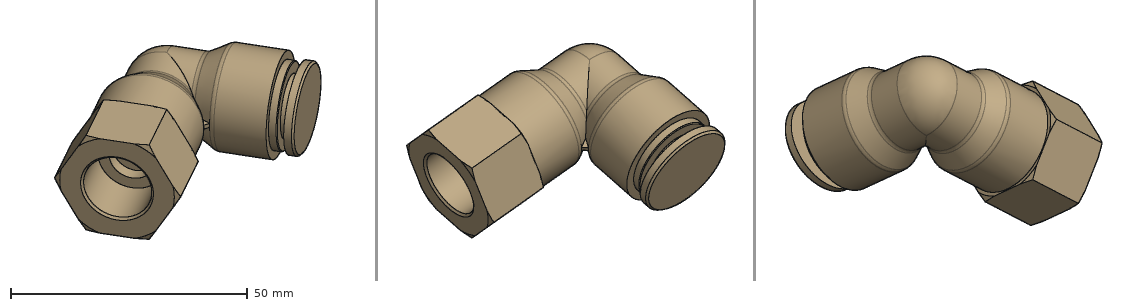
import cadquery as cq
import math


waist_radius = 9.0
barrel_radius = 23.5 / 2
arm_length = 25.0
taper_start = 8.0
taper_end = 13.0
taper_blend_radius = 2.0
web_thickness = 1.0

hex_across_flats = 24.0
hex_length = 15.0
hex_chamfer_circle_radius = 12.6
hex_chamfer_angle = 20.0
thread_hole_radius = 14.95 / 2
thread_hole_depth = 12.0
thread_mouth_chamfer = 0.5
passage_radius = 10.0 / 2

collar_radius = 19.6 / 2
collar_length = 1.85
collar_chamfer = 0.2
neck_radius = 14.2 / 2
neck_length = 3.75
flange_width = 22.5
flange_height = 19.6
flange_thickness = 2.15
flange_chamfer = 0.45

hex_across_corners = hex_across_flats / math.cos(math.pi / 6)
hex_face_distance = arm_length + hex_length
taper_angle = math.atan2(barrel_radius - waist_radius, taper_end - taper_start)
blend_tangent_length = taper_blend_radius * math.tan(taper_angle / 2)


def along_x(radius, start, length):
    """Cylinder on the X axis."""
    return cq.Workplane("YZ", origin=(start, 0, 0)).circle(radius).extrude(length)


def along_minus_y(start):
    """Workplane square to the -Y arm, at a distance from the origin, facing outwards."""
    return cq.Workplane("XZ", origin=(0, -start, 0))


def blend_middle(corner_axial, corner_radius, side):
    """Point halfway along a taper blend; side is +1 for the blend at the waist and -1 at the barrel."""
    center_axial = corner_axial - side * blend_tangent_length
    center_radius = corner_radius + side * taper_blend_radius
    return (
        center_axial + side * taper_blend_radius * math.sin(taper_angle / 2),
        center_radius - side * taper_blend_radius * math.cos(taper_angle / 2),
    )


def make_arm():
    """Arm along +X: waist, blended taper and barrel."""
    tangent_axial = blend_tangent_length * math.cos(taper_angle)
    tangent_radial = blend_tangent_length * math.sin(taper_angle)
    return (
        cq.Workplane("XY")
        .moveTo(0, 0)
        .lineTo(0, waist_radius)
        .lineTo(taper_start - blend_tangent_length, waist_radius)
        .threePointArc(
            blend_middle(taper_start, waist_radius, 1),
            (taper_start + tangent_axial, waist_radius + tangent_radial),
        )
        .lineTo(taper_end - tangent_axial, barrel_radius - tangent_radial)
        .threePointArc(
            blend_middle(taper_end, barrel_radius, -1),
            (taper_end + blend_tangent_length, barrel_radius),
        )
        .lineTo(arm_length, barrel_radius)
        .lineTo(arm_length, 0)
        .close()
        .revolve(360, (0, 0, 0), (1, 0, 0))
    )


def make_web():
    """Thin triangular web bridging the inside corner between the two tapers."""
    reach = taper_end - blend_tangent_length * math.cos(taper_angle)
    offset = barrel_radius - blend_tangent_length * math.sin(taper_angle)
    return (
        cq.Workplane("XY", origin=(0, 0, -web_thickness / 2))
        .polyline([(taper_start, -taper_start), (reach, -offset), (offset, -reach)])
        .close()
        .extrude(web_thickness)
    )


def make_elbow():
    """Two equal arms meeting at a mitre, with a ball on the outside of the corner."""
    tube_arm = make_arm()
    hex_arm = make_arm().rotate((0, 0, 0), (0, 0, 1), -90)
    ball = cq.Workplane("XY").sphere(waist_radius)
    return tube_arm.union(hex_arm).union(ball).union(make_web())


def make_hex_end():
    """Hexagon with chamfered corners, a threaded hole and a narrower passage behind it."""
    hexagon = along_minus_y(arm_length).polygon(6, hex_across_corners).extrude(hex_length)

    corner_radius = hex_across_corners / 2
    chamfer_drop = (corner_radius - hex_chamfer_circle_radius) * math.tan(math.radians(hex_chamfer_angle))
    chamfer_envelope = (
        cq.Workplane("XY")
        .polyline([
            (0, -arm_length),
            (hex_chamfer_circle_radius, -arm_length),
            (corner_radius, -arm_length - chamfer_drop),
            (corner_radius, -hex_face_distance + chamfer_drop),
            (hex_chamfer_circle_radius, -hex_face_distance),
            (0, -hex_face_distance),
        ])
        .close()
        .revolve(360, (0, 0, 0), (0, 1, 0))
    )

    thread_hole = (
        along_minus_y(hex_face_distance - thread_hole_depth)
        .circle(thread_hole_radius)
        .extrude(thread_hole_depth)
    )
    mouth_cone = cq.Workplane(
        cq.Solid.makeCone(
            thread_hole_radius + thread_mouth_chamfer,
            thread_hole_radius,
            thread_mouth_chamfer,
            pnt=cq.Vector(0, -hex_face_distance, 0),
            dir=cq.Vector(0, 1, 0),
        )
    )
    passage = along_minus_y(arm_length).circle(passage_radius).extrude(hex_length)
    return hexagon.intersect(chamfer_envelope).cut(thread_hole).cut(mouth_cone).cut(passage)


def make_collar():
    """Ring on the barrel end, around the neck of the release button."""
    ring = along_x(collar_radius, arm_length, collar_length).faces(">X").chamfer(collar_chamfer)
    return ring.cut(along_x(neck_radius, arm_length, collar_length))


def make_release_button():
    """Round neck through the collar, with an oval flange to press on."""
    flange = (
        cq.Workplane("YZ", origin=(arm_length + neck_length, 0, 0))
        .ellipse(flange_width / 2, flange_height / 2)
        .extrude(flange_thickness)
        .faces(">X")
        .chamfer(flange_chamfer)
    )
    return along_x(neck_radius, arm_length, neck_length).union(flange)


elbow = make_elbow()
hex_end_piece = make_hex_end()
collar = make_collar()
release_button = make_release_button()

result = cq.Compound.makeCompound([
    elbow.solids().val(),
    hex_end_piece.solids().val(),
    collar.solids().val(),
    release_button.solids().val(),
])